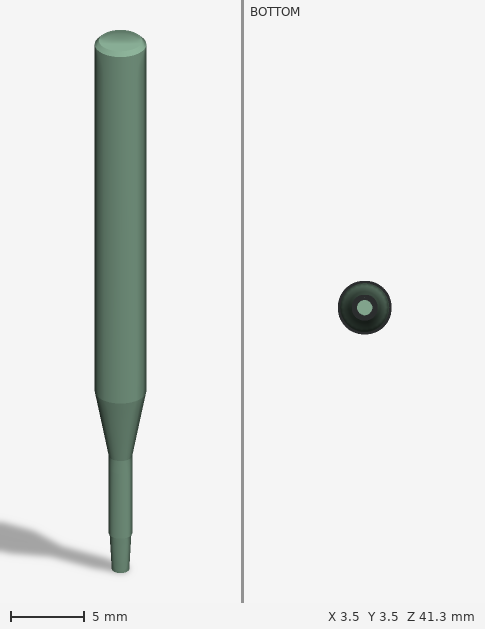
import cadquery as cq

total_length = 41.3
shank_diameter = 3.5
neck_diameter = 1.6
tip_start_diameter = 1.5
tip_end_diameter = 1.2
end_chamfer = 0.3

tip_top = 2.8
joint_height = 7.9
cone_bottom = 8.9
cone_top = 13.9

shank_radius = shank_diameter / 2
neck_radius = neck_diameter / 2
tip_start_radius = tip_start_diameter / 2
tip_end_radius = tip_end_diameter / 2


def revolve_about_z(half_profile):
    """Revolve a closed (radius, height) outline around the Z axis."""
    return cq.Workplane("XZ").polyline(half_profile).close().revolve(360, (0, 0), (0, 1))


def make_shank():
    """Cylindrical shank with a chamfered top, a cone and a short neck stub."""
    return revolve_about_z([
        (0, joint_height),
        (neck_radius, joint_height),
        (neck_radius, cone_bottom),
        (shank_radius, cone_top),
        (shank_radius, total_length - end_chamfer),
        (shank_radius - end_chamfer, total_length),
        (0, total_length),
    ])


def make_tip():
    """Neck cylinder that steps in to a tapered working tip."""
    return revolve_about_z([
        (0, 0),
        (tip_end_radius, 0),
        (tip_start_radius, tip_top),
        (neck_radius, tip_top),
        (neck_radius, joint_height),
        (0, joint_height),
    ])


shank = make_shank()
tip = make_tip()

result = cq.Compound.makeCompound([shank.val(), tip.val()])